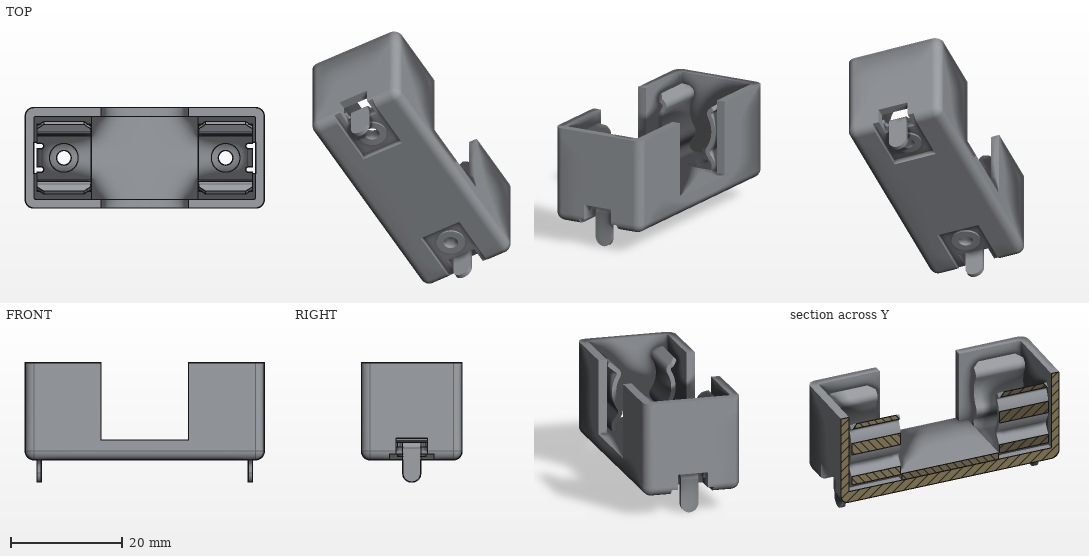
import cadquery as cq
import math

LENGTH = 43.05
WIDTH = 18.12
HEIGHT = 17.5
WALL = 1.6
OUTER_RADIUS = WALL
INNER_RADIUS = 0.4
FLOOR = 2.3
WINDOW_WIDTH = 15.65
WINDOW_SILL = 3.6

PLATE_LENGTH = 19.1

SHEET = 0.8
CLIP_OFFSET = 14.55
CLIP_LENGTH = 9.75
CLIP_FLOOR = FLOOR + SHEET
BEND_Y = 4.05
BEND_RADIUS = 1.2
CRADLE_RADIUS = 5.15
CRADLE_Z = 10.75
NECK_RADIUS = 1.5
NECK_ANGLE = -35.0
MOUTH_RADIUS = 1.2
MOUTH_ANGLE = 31.0
FLARE_ANGLE = 38.0
FLARE_LENGTH = 1.65
LIP_CUT_X = 1.25
LIP_CUT_DEPTH = 1.05
JOIN_GAP = 0.005

TONGUE_WIDTH = 3.27
TONGUE_TIP = HEIGHT - 21.52
TONGUE_BEND = 0.15
RELIEF_WIDTH = 5.15
RELIEF_DEPTH = 1.2
RELIEF_RADIUS = 0.45

SLOT_WIDTH = 5.6
SLOT_TOP = 3.87
RECESS_WIDTH = 7.9
RECESS_DEPTH = 1.05

RING_DIAMETER = 5.15
BORE_DIAMETER = 2.6
TOP_RING_PROUD = 0.1
LOWER_RING_HEIGHT = 0.4

CLIP_END = CLIP_OFFSET + CLIP_LENGTH / 2
RELIEF_END = CLIP_END - RELIEF_DEPTH
RECESS_END = CLIP_OFFSET - RECESS_WIDTH / 2


def block(x_range, width, z_range):
    """Box centred on Y = 0 between two X and two Z positions."""
    size = (x_range[1] - x_range[0], width, z_range[1] - z_range[0])
    return cq.Workplane("XY").box(*size, centered=(False, True, False)).translate((x_range[0], 0, z_range[0]))


def disc(diameter, bottom, top):
    """Upright cylinder on the fastening axis of the +X clip."""
    return cq.Workplane("XY", origin=(CLIP_OFFSET, 0, bottom)).circle(diameter / 2).extrude(top - bottom)


def opposite(body):
    """The same body turned half a turn about Z, to the -X end."""
    return body.rotate((0, 0, 0), (0, 0, 1), 180)


def make_housing():
    shell = cq.Workplane("XY").box(LENGTH, WIDTH, HEIGHT, centered=(True, True, False))
    shell = shell.edges("|Z").fillet(OUTER_RADIUS).faces("<Z").edges().fillet(OUTER_RADIUS)
    cavity = (
        cq.Workplane("XY", origin=(0, 0, FLOOR))
        .rect(LENGTH - 2 * WALL, WIDTH - 2 * WALL)
        .extrude(HEIGHT)
        .edges("|Z")
        .fillet(INNER_RADIUS)
    )
    window = block((-WINDOW_WIDTH / 2, WINDOW_WIDTH / 2), WIDTH, (WINDOW_SILL, HEIGHT))
    shell = shell.cut(cavity).cut(window)

    slot = block((RELIEF_END, LENGTH / 2), SLOT_WIDTH, (0, SLOT_TOP))
    recess = block((RECESS_END, LENGTH / 2), RECESS_WIDTH, (0, RECESS_DEPTH))
    opening = slot.union(recess).union(disc(BORE_DIAMETER, 0, FLOOR))
    return shell.cut(opening).cut(opposite(opening))


def make_plate():
    return block((-PLATE_LENGTH / 2, PLATE_LENGTH / 2), WIDTH - 2 * WALL, (FLOOR, WINDOW_SILL))


def polar(center, radius, angle):
    """Point in the YZ plane at an angle in degrees from +Y."""
    turn = math.radians(angle)
    return center[0] + radius * math.cos(turn), center[1] + radius * math.sin(turn)


def direction(start, end):
    """Angle in degrees from +Y of the line between two YZ points."""
    return math.degrees(math.atan2(end[1] - start[1], end[0] - start[0]))


CRADLE_CENTER = (0.0, CRADLE_Z)
BEND_CENTER = (BEND_Y, CLIP_FLOOR + BEND_RADIUS)
NECK_CENTER = polar(CRADLE_CENTER, CRADLE_RADIUS + NECK_RADIUS, NECK_ANGLE)
BEND_TO_NECK = math.dist(BEND_CENTER, NECK_CENTER)
TANGENT_TURN = math.degrees(math.acos((BEND_RADIUS + NECK_RADIUS) / BEND_TO_NECK))
BEND_EXIT = direction(BEND_CENTER, NECK_CENTER) - TANGENT_TURN
MOUTH_CENTER = polar(CRADLE_CENTER, CRADLE_RADIUS + MOUTH_RADIUS, MOUTH_ANGLE)
FLARE_NORMAL = 90 + FLARE_ANGLE
FLARE_START = polar(MOUTH_CENTER, MOUTH_RADIUS, FLARE_NORMAL)
LIP_INNER = polar(FLARE_START, FLARE_LENGTH, FLARE_ANGLE)
LIP_OUTER = polar(LIP_INNER, SHEET, FLARE_NORMAL - 180)


def arm_arcs(offset):
    """Arcs (centre, radius, start angle, end angle) of an arm face, offset outward from its inner face."""
    return [
        (BEND_CENTER, BEND_RADIUS + offset, -90, BEND_EXIT),
        (NECK_CENTER, NECK_RADIUS - offset, BEND_EXIT + 180, NECK_ANGLE + 180),
        (CRADLE_CENTER, CRADLE_RADIUS + offset, NECK_ANGLE, MOUTH_ANGLE),
        (MOUTH_CENTER, MOUTH_RADIUS - offset, MOUTH_ANGLE + 180, FLARE_NORMAL),
    ]


def follow(profile, arcs):
    """Extend a YZ profile along arcs, with a straight line to any arc that starts further on."""
    here = None
    for center, radius, start, end in arcs:
        entry = polar(center, radius, start)
        if here and math.dist(here, entry) > JOIN_GAP:
            profile = profile.lineTo(*entry)
        here = polar(center, radius, end)
        profile = profile.threePointArc(polar(center, radius, (start + end) / 2), here)
    return profile


def make_arm():
    """The +Y arm from the edge of the clip floor to its flared lip."""
    inner_face = arm_arcs(0)
    outer_face = [(center, radius, end, start) for center, radius, start, end in reversed(arm_arcs(SHEET))]
    profile = cq.Workplane("YZ", origin=(CLIP_OFFSET, 0, 0)).moveTo(BEND_Y, FLOOR).lineTo(BEND_Y, CLIP_FLOOR)
    profile = follow(profile, inner_face)
    profile = profile.lineTo(*LIP_INNER).lineTo(*LIP_OUTER)
    profile = profile.lineTo(*polar(MOUTH_CENTER, MOUTH_RADIUS - SHEET, FLARE_NORMAL))
    profile = follow(profile, outer_face)
    arm = profile.close().extrude(CLIP_LENGTH / 2, both=True)

    normal_y, normal_z = polar((0, 0), 1, FLARE_NORMAL)
    flare_plane = cq.Plane(origin=(CLIP_OFFSET, *LIP_INNER), xDir=(1, 0, 0), normal=(0, normal_y, normal_z))
    for side in (-1, 1):
        corner = side * CLIP_LENGTH / 2
        bevel = (
            cq.Workplane(flare_plane)
            .polyline([(corner, 0), (corner - side * LIP_CUT_X, 0), (corner, -LIP_CUT_DEPTH)])
            .close()
            .extrude(SHEET, both=True)
        )
        arm = arm.cut(bevel)
    return arm


def make_tongue():
    """Solder tongue: a short level strip, a tight bend and a round-ended leg."""
    outer_bend = SHEET + TONGUE_BEND
    bend_x = CLIP_END - outer_bend
    bend_z = CLIP_FLOOR - outer_bend
    diagonal = math.sqrt(0.5)
    strip = (
        cq.Workplane("XZ")
        .moveTo(RELIEF_END, FLOOR)
        .lineTo(RELIEF_END, CLIP_FLOOR)
        .lineTo(bend_x, CLIP_FLOOR)
        .threePointArc((bend_x + outer_bend * diagonal, bend_z + outer_bend * diagonal), (CLIP_END, bend_z))
        .lineTo(CLIP_END, TONGUE_TIP)
        .lineTo(CLIP_END - SHEET, TONGUE_TIP)
        .lineTo(CLIP_END - SHEET, bend_z)
        .threePointArc((bend_x + TONGUE_BEND * diagonal, bend_z + TONGUE_BEND * diagonal), (bend_x, FLOOR))
        .close()
        .extrude(TONGUE_WIDTH / 2, both=True)
    )
    tip_center = TONGUE_TIP + TONGUE_WIDTH / 2
    outline = (
        cq.Workplane("YZ")
        .moveTo(-TONGUE_WIDTH / 2, CLIP_FLOOR)
        .lineTo(-TONGUE_WIDTH / 2, tip_center)
        .threePointArc((0, TONGUE_TIP), (TONGUE_WIDTH / 2, tip_center))
        .lineTo(TONGUE_WIDTH / 2, CLIP_FLOOR)
        .close()
        .extrude(LENGTH)
    )
    return strip.intersect(outline)


def make_clip():
    floor = block((CLIP_OFFSET - CLIP_LENGTH / 2, CLIP_END), 2 * BEND_Y, (FLOOR, CLIP_FLOOR))
    relief_width = (RELIEF_WIDTH - TONGUE_WIDTH) / 2
    relief_y = (TONGUE_WIDTH + relief_width) / 2
    reliefs = (
        cq.Workplane("XY", origin=(CLIP_END, 0, FLOOR))
        .pushPoints([(0, -relief_y), (0, relief_y)])
        .rect(2 * RELIEF_DEPTH, relief_width)
        .extrude(SHEET)
        .edges("|Z")
        .fillet(RELIEF_RADIUS)
    )
    tongue_root = block((RELIEF_END, CLIP_END), TONGUE_WIDTH, (FLOOR, CLIP_FLOOR))
    arm = make_arm()
    clip = floor.cut(reliefs).cut(tongue_root).union(make_tongue()).union(arm).union(arm.mirror("XZ"))
    return clip.cut(disc(RING_DIAMETER, FLOOR, CLIP_FLOOR))


def make_ring(bottom, top):
    return disc(RING_DIAMETER, bottom, top).cut(disc(BORE_DIAMETER, bottom, top))


housing = make_housing()
plate = make_plate()
clip = make_clip()
upper_ring = make_ring(FLOOR, CLIP_FLOOR + TOP_RING_PROUD)
lower_ring = make_ring(RECESS_DEPTH - LOWER_RING_HEIGHT, RECESS_DEPTH)

bodies = [housing.val(), plate.val()]
for body in (clip, upper_ring, lower_ring):
    bodies.append(body.val())
    bodies.append(opposite(body).val())

result = cq.Compound.makeCompound(bodies)